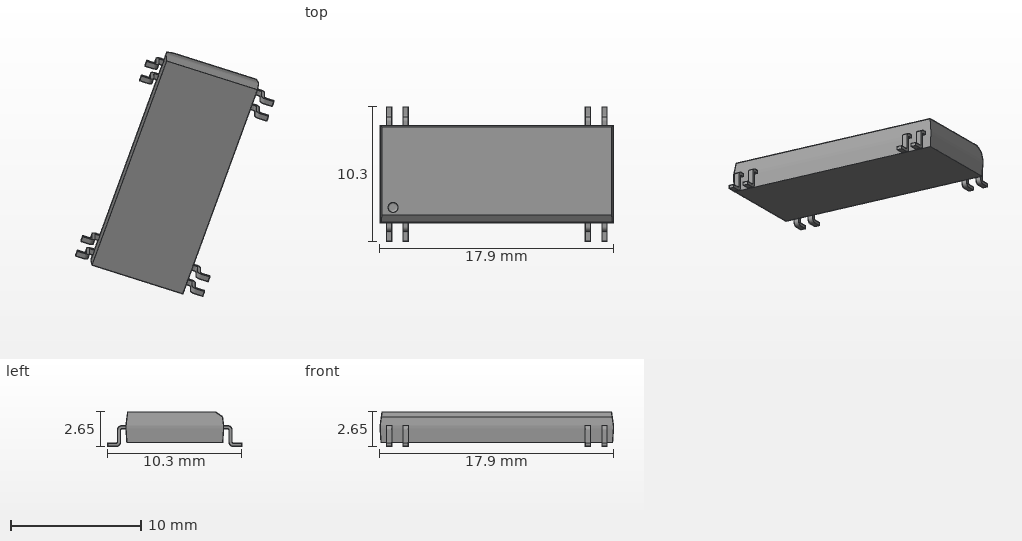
import cadquery as cq

body_length = 17.9
body_width = 7.5
body_bottom_z = 0.30
total_height = 2.65

top_inset_x = 0.15
top_inset_y = 0.13
bottom_inset = 0.07

bevel_run = 0.62
bevel_height = 0.38
bevel_foot = 0.08

lead_span = 10.3
lead_width = 0.42
lead_thickness = 0.25
lead_top_z = 1.6
leg_outer_y = 4.40
inner_bend_radius = 0.1
outer_bend_radius = inner_bend_radius + lead_thickness
lead_pitch = 1.27
lead_positions = [n * lead_pitch for n in (-6.5, -5.5, 5.5, 6.5)]
lead_embed = 0.5

belt_top_z = lead_top_z
belt_bottom_z = lead_top_z - lead_thickness

dimple_x = -7.95
dimple_y = -2.55
dimple_diameter = 0.76
dimple_floor_radius = 0.16
dimple_depth = 0.22


def tapered_block(start_z, end_z, inset_x, inset_y):
    """Block with the full body outline at start_z and an inset outline at end_z."""
    return (
        cq.Workplane("XY", origin=(0, 0, start_z))
        .rect(body_length, body_width)
        .workplane(offset=end_z - start_z)
        .rect(body_length - 2 * inset_x, body_width - 2 * inset_y)
        .loft(ruled=True)
    )


def make_body():
    """Moulded body: a vertical belt with tapered blocks above and below it."""
    belt = cq.Workplane("XY", origin=(0, 0, belt_bottom_z)).box(
        body_length, body_width, belt_top_z - belt_bottom_z, centered=(True, True, False)
    )
    upper = tapered_block(belt_top_z, total_height, top_inset_x, top_inset_y)
    lower = tapered_block(belt_bottom_z, body_bottom_z, bottom_inset, bottom_inset)
    return belt.union(upper).union(lower)


def make_bevel_cutter():
    """Triangular bar whose sloping side is the bevel, carried down to the widest body side."""
    side_y = -body_width / 2
    slope = bevel_height / (bevel_run - bevel_foot)
    foot_z = total_height - bevel_height
    corner = (side_y, total_height)
    lower_point = (side_y, foot_z - slope * bevel_foot)
    upper_point = (side_y + bevel_run, total_height)
    return (
        cq.Workplane("YZ")
        .polyline([corner, lower_point, upper_point])
        .close()
        .extrude(body_length / 2, both=True)
    )


def make_dimple():
    """Cutter for a shallow round recess with a rounded corner around its floor."""
    return (
        cq.Workplane("XY", origin=(dimple_x, dimple_y, total_height))
        .circle(dimple_diameter / 2)
        .extrude(-dimple_depth)
        .faces("<Z")
        .edges()
        .fillet(dimple_floor_radius)
    )


def make_lead(x, side):
    """One lead at x, leaving the body towards side (+1 for +Y, -1 for -Y)."""
    root_y = body_width / 2 - lead_embed
    toe_y = lead_span / 2
    leg_inner_y = leg_outer_y - lead_thickness
    outline = [
        (root_y, lead_top_z),
        (leg_outer_y, lead_top_z),
        (leg_outer_y, lead_thickness),
        (toe_y, lead_thickness),
        (toe_y, 0),
        (leg_inner_y, 0),
        (leg_inner_y, belt_bottom_z),
        (root_y, belt_bottom_z),
    ]
    lead = (
        cq.Workplane("YZ", origin=(x, 0, 0))
        .polyline([(side * y, z) for y, z in outline])
        .close()
        .extrude(lead_width / 2, both=True)
    )

    def bend_edge(y, z):
        return cq.selectors.NearestToPointSelector((x, side * y, z))

    for y, z in ((leg_outer_y, lead_top_z), (leg_inner_y, 0)):
        lead = lead.edges("|X").edges(bend_edge(y, z)).fillet(outer_bend_radius)
    for y, z in ((leg_outer_y, lead_thickness), (leg_inner_y, belt_bottom_z)):
        lead = lead.edges("|X").edges(bend_edge(y, z)).fillet(inner_bend_radius)
    return lead


result = make_body().cut(make_bevel_cutter()).cut(make_dimple())
for lead_x in lead_positions:
    for lead_side in (-1, 1):
        result = result.union(make_lead(lead_x, lead_side))